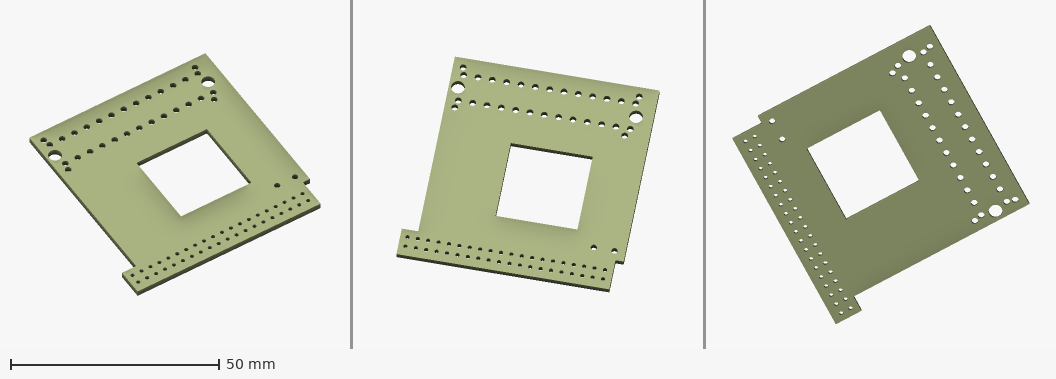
import cadquery as cq

thickness = 1.6
board_width = 55.0
main_height = 50.0
strip_width = 7.0
strip_drop = 4.0
top_notch_width = 8.0
top_notch_depth = 2.0

window_size = 20.0
window_center = (30.5, 27.5)

socket_center = (8.0, 24.0)
socket_columns = 2
socket_rows = 13
socket_column_pitch = 7.0
socket_row_pitch = 3.5
socket_hole_diameter = 1.6
mounting_hole_pitch = 43.5
mounting_hole_diameter = 3.3

header_columns = 2
header_rows = 20
header_pitch = 2.54
header_hole_diameter = 1.0
header_edge_distance = 2.0
header_side_distance = 5.0
header_first_x = board_width - header_side_distance
header_center_x = header_first_x + (header_columns - 1) * header_pitch / 2
header_first_y = main_height - top_notch_depth - header_edge_distance
header_center_y = header_first_y - (header_rows - 1) * header_pitch / 2

flank_hole_diameter = 1.6
flank_offset_x = 5.5
flank_lower_y = 2.5
flank_left_upper_y = 45.5
flank_right_upper_y = 44.0
flank_left_x = socket_center[0] - flank_offset_x
flank_right_x = socket_center[0] + flank_offset_x
flank_points = [
    (flank_left_x, flank_lower_y),
    (flank_left_x, flank_left_upper_y),
    (flank_right_x, flank_lower_y),
    (flank_right_x, flank_right_upper_y),
]

corner_hole_diameter = 1.5
corner_hole_x = 44.56
corner_hole_upper_y = 47.33
corner_hole_pitch = 5.08
corner_points = [
    (corner_hole_x, corner_hole_upper_y),
    (corner_hole_x, corner_hole_upper_y - corner_hole_pitch),
]


def grid_points(center, columns, rows, column_pitch, row_pitch):
    """Points of a rectangular grid centred on the given point."""
    first_x = center[0] - (columns - 1) * column_pitch / 2
    first_y = center[1] - (rows - 1) * row_pitch / 2
    return [
        (first_x + column * column_pitch, first_y + row * row_pitch)
        for column in range(columns)
        for row in range(rows)
    ]


def make_board():
    """Plate with a strip dropping below the right side and a stepped top corner."""
    strip_left = board_width - strip_width
    notch_left = board_width - top_notch_width
    strip_top = main_height - top_notch_depth
    outline = [
        (0, 0),
        (strip_left, 0),
        (strip_left, -strip_drop),
        (board_width, -strip_drop),
        (board_width, strip_top),
        (notch_left, strip_top),
        (notch_left, main_height),
        (0, main_height),
    ]
    return cq.Workplane("XY").polyline(outline).close().extrude(thickness)


def make_window():
    """Cutter for the square window."""
    window = cq.Workplane("XY").center(*window_center).rect(window_size, window_size)
    return window.extrude(thickness)


def make_holes(points, diameter):
    """Cutter for equal through holes at the given points."""
    return cq.Workplane("XY").pushPoints(points).circle(diameter / 2).extrude(thickness)


socket_points = grid_points(
    socket_center, socket_columns, socket_rows, socket_column_pitch, socket_row_pitch
)
mounting_points = grid_points(socket_center, 1, 2, 0, mounting_hole_pitch)
header_points = grid_points(
    (header_center_x, header_center_y), header_columns, header_rows, header_pitch, header_pitch
)

result = make_board().cut(make_window())
result = result.cut(make_holes(socket_points, socket_hole_diameter))
result = result.cut(make_holes(mounting_points, mounting_hole_diameter))
result = result.cut(make_holes(header_points, header_hole_diameter))
result = result.cut(make_holes(flank_points, flank_hole_diameter))
result = result.cut(make_holes(corner_points, corner_hole_diameter))